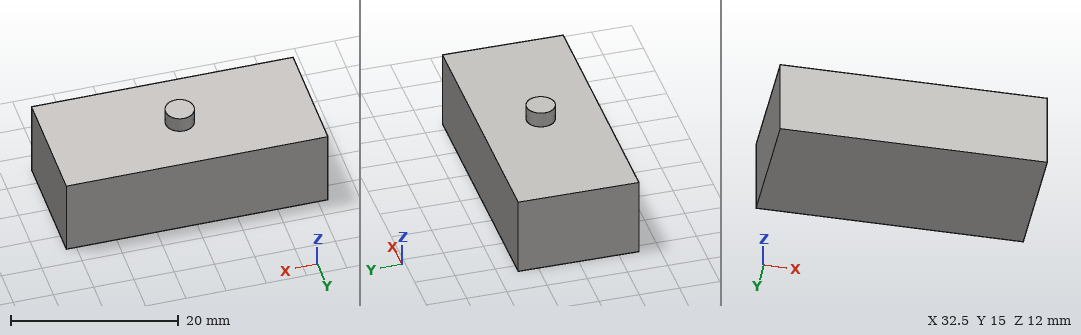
import cadquery as cq

block_length = 32.5
block_width = 15.0
block_height = 10.0

overall_height = 12.0
pin_diameter = 3.5
pin_height = overall_height - block_height

block = cq.Workplane("XY").box(
    block_length, block_width, block_height, centered=(True, True, False)
)

result = block.faces(">Z").workplane().circle(pin_diameter / 2).extrude(pin_height)